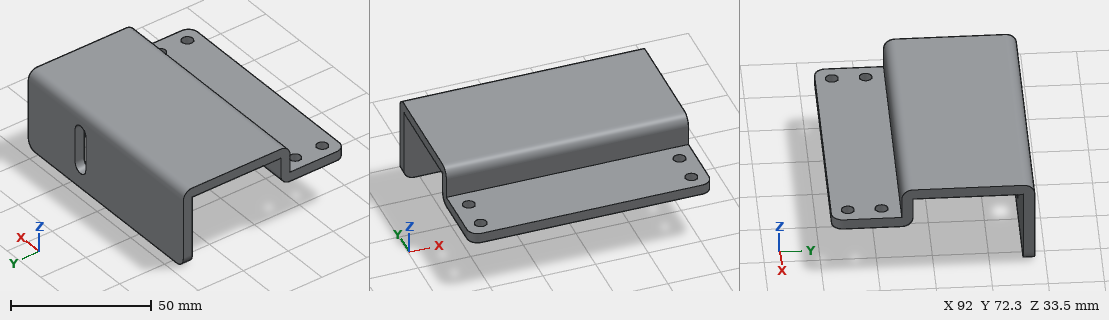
import cadquery as cq

length = 92.0
depth = 72.3
height = 33.5

sheet = 4.05
bend_radius = 4.05
corner_radius = 4.05
top_depth = 47.5
step_height = 15.9

hole_diameter = 4.5
hole_inset = 6.0
hole_row_spacing = 12.05

slot_width = 6.3
slot_x = 15.0
slot_end_margin = 6.35

rear_inner_y = depth - sheet
step_outer_y = depth - top_depth
step_inner_y = step_outer_y + sheet
plate_bottom = height - step_height
plate_top = plate_bottom + sheet
roof_bottom = height - sheet


def bent_sheet():
    """Constant-thickness profile with sharp inner and rounded outer bends."""
    profile = [
        (0, plate_bottom),
        (step_inner_y, plate_bottom),
        (step_inner_y, roof_bottom),
        (rear_inner_y, roof_bottom),
        (rear_inner_y, 0),
        (depth, 0),
        (depth, height),
        (step_outer_y, height),
        (step_outer_y, plate_top),
        (0, plate_top),
    ]
    body = cq.Workplane("YZ").polyline(profile).close().extrude(length / 2, both=True)
    outer_bends = [
        (step_inner_y, plate_bottom),
        (depth, height),
        (step_outer_y, height),
    ]
    for y, z in outer_bends:
        body = body.edges(cq.selectors.NearestToPointSelector((0, y, z))).fillet(bend_radius)
    return body


def round_free_corners(body):
    """Round the outer corners of the mounting plate and of the rear wall."""
    body = body.faces("<Y").edges("|Z").fillet(corner_radius)
    return body.faces("<Z").edges("|Y").fillet(corner_radius)


def mounting_holes():
    hole_x = length / 2 - hole_inset
    rows = (hole_inset, hole_inset + hole_row_spacing)
    centres = [(x, y) for x in (-hole_x, hole_x) for y in rows]
    return (
        cq.Workplane("XY", origin=(0, 0, plate_bottom))
        .pushPoints(centres)
        .circle(hole_diameter / 2)
        .extrude(sheet)
    )


def wall_slot():
    slot_length = height - 2 * slot_end_margin
    return (
        cq.Workplane("XZ", origin=(slot_x, depth, height / 2))
        .slot2D(slot_length, slot_width, 90)
        .extrude(sheet)
    )


result = round_free_corners(bent_sheet()).cut(mounting_holes()).cut(wall_slot())